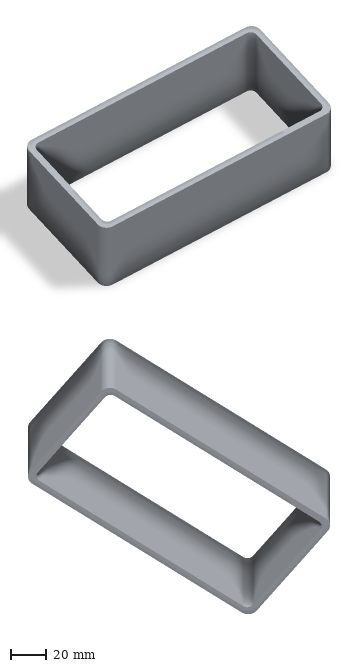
import cadquery as cq

width = 80.0
length = 160.0
height = 50.0

wall = 4.0
outer_radius = 6.0
inner_radius = 4.0


def rounded_block(size_x, size_y, corner_radius):
    """Upright block, centred on the origin, with rounded vertical edges."""
    return cq.Workplane("XY").box(size_x, size_y, height).edges("|Z").fillet(corner_radius)


outer = rounded_block(width, length, outer_radius)
opening = rounded_block(width - 2 * wall, length - 2 * wall, inner_radius)

result = outer.cut(opening)